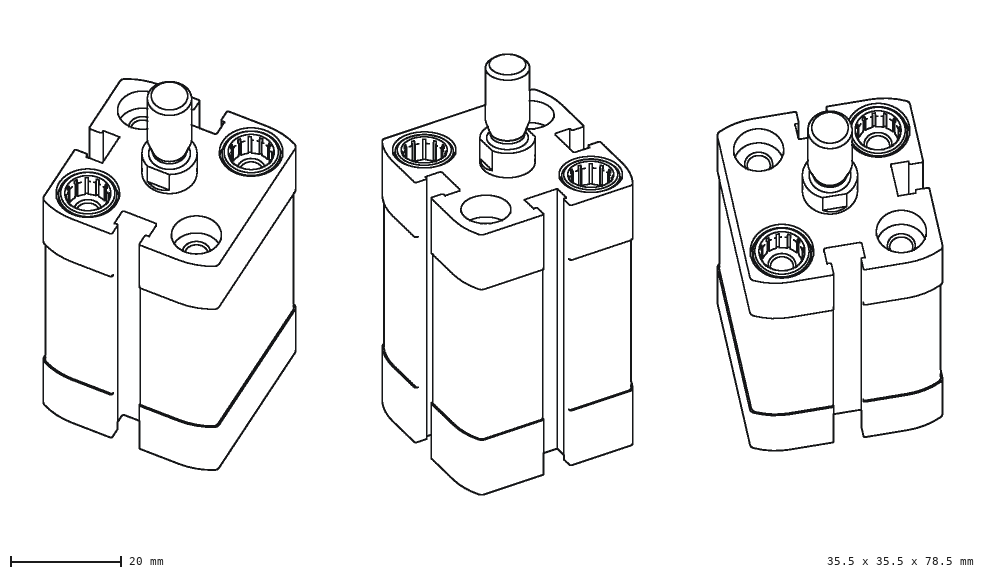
import cadquery as cq
import math

side = 35.5
half_side = side / 2
body_height = 57.1
cap_height = 12.0
barrel_inset = 0.3
crown_start = 10.8
crown_radius = 13.7
corner_fillet = 1.1

throat_width = 5.5
lip_thickness = 2.6
slot_depth = 5.9
lip_fillet = 0.3
wide_pocket_width = 7.0
wide_pocket_fillet = 0.4
narrow_pocket_width = 6.9

hole_offset = 11.0
through_diameter = 4.15
countersink_diameter = 5.0
counterbore_diameter = 9.0
counterbore_depth = 4.8
countersink_depth = (countersink_diameter - through_diameter) / 2

recess_diameter = 11.5
head_diameter = 10.5
head_top_diameter = 9.8
groove_depth = 2.0
head_chamfer = (head_diameter - head_top_diameter) / 2
socket_diameter = 7.5
flute_diameter = 8.0
mouth_diameter = 8.3
mouth_depth = 1.2
flute_count = 12
flute_width = 0.55

total_height = 78.5
collar_diameter = 10.0
rod_bottom = body_height - cap_height
collar_top = 62.4
flats_width = 8.95
flats_bottom = body_height + 1.0
flats_ledge_drop = 0.3
thread_diameter = 8.0
thread_bottom = 66.5
thread_chamfer = 0.7
runout_diameter = 6.6
neck_diameter = 6.2
runout_bottom = 64.05
neck_top = 63.8
neck_bottom = 63.2
neck_flare_diameter = 7.5


def cylinder(diameter, bottom, top):
    """Upright cylinder on the Z axis between two heights."""
    return cq.Workplane("XY", origin=(0, 0, bottom)).circle(diameter / 2).extrude(top - bottom)


def cone(bottom_diameter, top_diameter, bottom, top):
    """Upright truncated cone on the Z axis between two heights."""
    solid = cq.Solid.makeCone(bottom_diameter / 2, top_diameter / 2, top - bottom, cq.Vector(0, 0, bottom))
    return cq.Workplane("XY").add(solid)


def block(half, height, bottom):
    """Square block whose +Y and -Y faces are crowned towards the four corners."""
    radius = crown_radius - (half_side - half)
    center_y = half - radius

    def on_crown(x):
        return center_y + math.sqrt(radius ** 2 - (x - crown_start) ** 2)

    middle_x = (crown_start + half) / 2
    middle_y = on_crown(middle_x)
    corner_y = on_crown(half)
    return (
        cq.Workplane("XY", origin=(0, 0, bottom))
        .moveTo(-crown_start, half)
        .lineTo(crown_start, half)
        .threePointArc((middle_x, middle_y), (half, corner_y))
        .lineTo(half, -corner_y)
        .threePointArc((middle_x, -middle_y), (crown_start, -half))
        .lineTo(-crown_start, -half)
        .threePointArc((-middle_x, -middle_y), (-half, -corner_y))
        .lineTo(-half, corner_y)
        .threePointArc((-middle_x, middle_y), (-crown_start, half))
        .close()
        .extrude(height)
        .edges("|Z and (<X or >X)")
        .fillet(corner_fillet)
    )


def slot_cutter(pocket_width, pocket_fillet=0):
    """T-slot along the full height that opens through the -Y face."""
    pocket_depth = slot_depth - lip_thickness
    throat = cq.Workplane("XY").box(throat_width, 2 * lip_thickness, body_height)
    pocket = cq.Workplane("XY").box(pocket_width, pocket_depth, body_height)
    if pocket_fillet:
        pocket = pocket.edges("|Z and >Y").fillet(pocket_fillet)
    pocket_y = -half_side + lip_thickness + pocket_depth / 2
    slot = throat.translate((0, -half_side, 0)).union(pocket.translate((0, pocket_y, 0)))
    return slot.translate((0, 0, body_height / 2))


def slotted_block(half, height, bottom):
    """Crowned block with T-slots in three faces and rounded edges on the slot lips."""
    wide_slot = slot_cutter(wide_pocket_width, wide_pocket_fillet)
    narrow_slot = slot_cutter(narrow_pocket_width)
    slotted = (
        block(half, height, bottom)
        .cut(wide_slot)
        .cut(wide_slot.mirror("XZ"))
        .cut(narrow_slot.rotate((0, 0, 0), (0, 0, 1), -90))
    )

    def on_slot_lip(edge):
        center = edge.Center()
        near = min(abs(center.x), abs(center.y))
        far = max(abs(center.x), abs(center.y))
        at_lip_face = math.isclose(far, half) or math.isclose(far, half_side - lip_thickness)
        return math.isclose(near, throat_width / 2) and at_lip_face

    return slotted.edges("|Z").filter(on_slot_lip).fillet(lip_fillet)


def lower_hole_cutter():
    """Cutter for the through hole and the countersink at its upper end, below the counterbore."""
    floor = body_height - counterbore_depth
    return cylinder(through_diameter, 0, floor).union(
        cone(through_diameter, countersink_diameter, floor - countersink_depth, floor)
    )


def plain_hole_cutter():
    """Through hole with a plain counterbore."""
    return lower_hole_cutter().union(
        cylinder(counterbore_diameter, body_height - counterbore_depth, body_height)
    )


def screw_hole_cutter():
    """Through hole under a fluted socket, with the ring groove that outlines the screw head."""
    floor = body_height - counterbore_depth
    socket = cylinder(socket_diameter, floor, body_height)
    flute = (
        cq.Workplane("XY")
        .box(flute_diameter / 2, flute_width, counterbore_depth)
        .translate((flute_diameter / 4, 0, floor + counterbore_depth / 2))
    )
    for index in range(flute_count):
        socket = socket.union(flute.rotate((0, 0, 0), (0, 0, 1), index * 360 / flute_count))
    mouth = cone(socket_diameter, mouth_diameter, body_height - mouth_depth, body_height)
    head = cylinder(head_diameter, body_height - groove_depth, body_height)
    head = head.faces(">Z").chamfer(head_chamfer)
    groove = cylinder(recess_diameter, body_height - groove_depth, body_height).cut(head)
    return lower_hole_cutter().union(socket).union(mouth).union(groove)


def make_housing():
    """Barrel between two end caps, with T-slots, mounting holes and the rod guide bore."""
    housing = slotted_block(half_side - barrel_inset, body_height, 0)
    for cap_bottom in (0, body_height - cap_height):
        housing = housing.union(slotted_block(half_side, cap_height, cap_bottom))

    plain_hole = plain_hole_cutter()
    screw_hole = screw_hole_cutter()
    for sign in (-1, 1):
        housing = housing.cut(plain_hole.translate((sign * hole_offset, -sign * hole_offset, 0)))
        housing = housing.cut(screw_hole.translate((sign * hole_offset, sign * hole_offset, 0)))

    return housing.cut(cylinder(collar_diameter, rod_bottom, body_height))


def make_rod():
    """Piston rod: collar with two wrench flats, undercut neck and plain threaded end."""
    rod = (
        cq.Workplane("XZ")
        .moveTo(0, rod_bottom)
        .lineTo(collar_diameter / 2, rod_bottom)
        .lineTo(collar_diameter / 2, collar_top)
        .lineTo(neck_flare_diameter / 2, collar_top)
        .lineTo(neck_diameter / 2, neck_bottom)
        .lineTo(neck_diameter / 2, neck_top)
        .lineTo(runout_diameter / 2, runout_bottom)
        .lineTo(thread_diameter / 2, thread_bottom)
        .lineTo(thread_diameter / 2, total_height - thread_chamfer)
        .lineTo(thread_diameter / 2 - thread_chamfer, total_height)
        .lineTo(0, total_height)
        .close()
        .revolve(360, (0, 0, 0), (0, 1, 0))
    )
    outer_radius = collar_diameter / 2
    flat_cutter = (
        cq.Workplane("YZ", origin=(-outer_radius, 0, 0))
        .moveTo(flats_width / 2, collar_top)
        .lineTo(flats_width / 2, flats_bottom)
        .lineTo(outer_radius, flats_bottom - flats_ledge_drop)
        .lineTo(outer_radius, collar_top)
        .close()
        .extrude(collar_diameter)
    )
    return rod.cut(flat_cutter).cut(flat_cutter.mirror("XZ"))


housing = make_housing()
rod = make_rod()
result = cq.Compound.makeCompound([housing.val(), rod.val()])